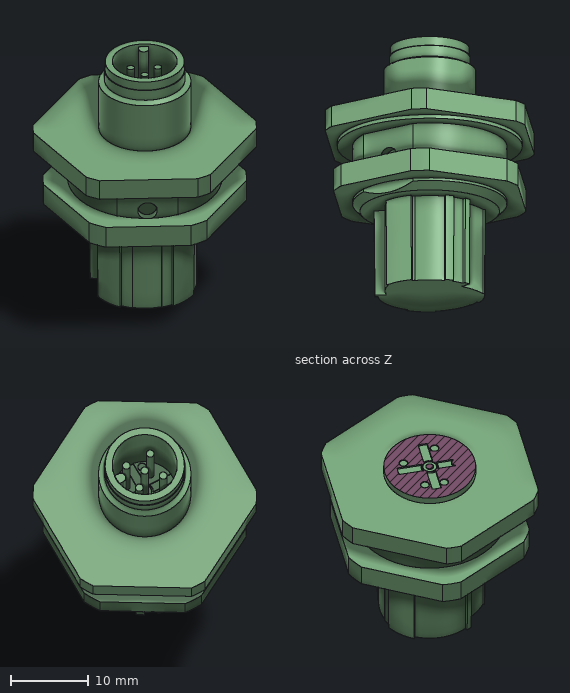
import cadquery as cq
import math

TOTAL_HEIGHT = 33.6
NOSE_BOTTOM = 32.35
COLLAR_BOTTOM = 30.88
SLEEVE_TOP = 30.5
FLANGE_TOP = 23.6
FLANGE_BOTTOM = 20.75
SEAL_BOTTOM = 20.25
NUT_TOP = 15.83
NUT_BOTTOM = 12.8
BODY_BOTTOM = 11.45

NOSE_RADIUS = 5.15
COLLAR_RADIUS = 5.25
SLEEVE_RADIUS = 5.98
SEAL_RADIUS = 12.0
BODY_RADIUS = 10.0
BODY_CHAMFER = 0.97

KEY_ANGLE = 130.0
PIN_ANGLES = [KEY_ANGLE + 45 + 90 * i for i in range(4)]

FLANGE_FLAT = 13.0
FLANGE_CORNER = 14.48
NUT_FLAT = 12.0
NUT_CORNER = 13.2

BODY_FLAT = 9.2
HOLE_RADIUS = 1.25
HOLE_HEIGHT = 16.45
HOLE_DEPTH = 1.1

SOCKET_RADIUS = 4.2
SOCKET_FLOOR = 24.53
PIN_RADIUS = 0.5
PIN_CIRCLE = 2.5
PIN_TOP = 31.55
KEY_RADIUS = 0.65
KEY_CENTRE = 3.53
KEY_TOP = 33.2
GROOVE_WIDTH = 1.15
GROOVE_DEPTH = 0.2
HUB_RADIUS = 1.1
HUB_RECESS_RADIUS = 0.9
PAD_RADIUS = 0.55
PAD_CIRCLE = 3.45
PAD_DEPTH = 0.1
PAD_OFFSETS = [22.0, 22.0, 22.0, -25.0]

CARRIER_RADIUS = 6.75
RIDGE_TOP_RADIUS = 7.22
RIDGE_BOTTOM_RADIUS = 7.12
WIDE_RIDGE = 32.0
PLAIN_RIDGE_CENTRE = 355.0
LATCH_RIDGE_CENTRES = [130.0, 265.0]
NARROW_RIDGE = (182.2, 191.2)
SHALLOW_RECESSES = [(149.0, 182.2), (294.0, 327.0)]
SHALLOW_RECESS_RADIUS = 6.65
RIB_START = 43.7
RIB_TIP_END = 37.5
RIB_ROOT = 35.5
POCKET_START_RADIUS = 5.65
POCKET_END_RADIUS = 6.92
POCKET_CURVE_RADIUS = 8.05
CLEARANCE_RADIUS = 10.08


def polar(radius, angle):
    a = math.radians(angle)
    return (radius * math.cos(a), radius * math.sin(a))


def cylinder(radius, bottom, top):
    return cq.Workplane("XY").workplane(offset=bottom).circle(radius).extrude(top - bottom)


def hexagon(flat, corner, bottom, top):
    """Hexagonal plate with corners turned to a circle."""
    height = top - bottom
    prism = (
        cq.Workplane("XY")
        .workplane(offset=bottom)
        .polygon(6, 2 * flat, circumscribed=True)
        .extrude(height)
        .rotate((0, 0, 0), (0, 0, 1), KEY_ANGLE)
    )
    return prism.intersect(cylinder(corner, bottom, top))


def wedge(start, end):
    """Triangular prism covering the carrier between two angles."""
    points = [(0, 0), polar(CLEARANCE_RADIUS, start), polar(CLEARANCE_RADIUS, end)]
    return cq.Workplane("XY").polyline(points).close().extrude(BODY_BOTTOM)


def make_shell():
    """Revolved sleeve, sealing ring and chamfered body."""
    profile = [
        (0, BODY_BOTTOM),
        (BODY_RADIUS - BODY_CHAMFER, BODY_BOTTOM),
        (BODY_RADIUS, BODY_BOTTOM + BODY_CHAMFER),
        (BODY_RADIUS, SEAL_BOTTOM),
        (SEAL_RADIUS, SEAL_BOTTOM),
        (SEAL_RADIUS, FLANGE_BOTTOM),
        (SLEEVE_RADIUS, FLANGE_BOTTOM),
        (SLEEVE_RADIUS, SLEEVE_TOP),
        (COLLAR_RADIUS, COLLAR_BOTTOM),
        (COLLAR_RADIUS, NOSE_BOTTOM),
        (NOSE_RADIUS, NOSE_BOTTOM),
        (NOSE_RADIUS, TOTAL_HEIGHT),
        (0, TOTAL_HEIGHT),
    ]
    return cq.Workplane("XZ").polyline(profile).close().revolve(360, (0, 0), (0, 1))


def flat_cutter(angle):
    """Removes one side of the body and sinks a blind hole in the flat left behind."""
    depth = BODY_RADIUS - BODY_FLAT
    height = SEAL_BOTTOM - BODY_BOTTOM
    slab = (
        cq.Workplane("XY")
        .box(depth, 2 * BODY_RADIUS, height, centered=(False, True, False))
        .translate((BODY_FLAT, 0, BODY_BOTTOM))
    )
    hole = (
        cq.Workplane("YZ")
        .workplane(offset=BODY_FLAT - HOLE_DEPTH)
        .center(0, HOLE_HEIGHT)
        .circle(HOLE_RADIUS)
        .extrude(HOLE_DEPTH + depth)
    )
    return slab.union(hole).rotate((0, 0, 0), (0, 0, 1), angle)


def make_nut():
    nut = hexagon(NUT_FLAT, NUT_CORNER, NUT_BOTTOM, NUT_TOP)
    return nut.cut(cylinder(BODY_RADIUS, NUT_BOTTOM, NUT_TOP))


def make_socket():
    """Space inside the sleeve, with the key, pins and floor details left standing."""
    groove_bottom = SOCKET_FLOOR - GROOVE_DEPTH
    space = cylinder(SOCKET_RADIUS, SOCKET_FLOOR, TOTAL_HEIGHT)

    grooves = cq.Workplane("XY")
    for angle in (KEY_ANGLE, KEY_ANGLE + 90):
        bar = (
            cq.Workplane("XY")
            .box(2 * SOCKET_RADIUS, GROOVE_WIDTH, GROOVE_DEPTH, centered=(True, True, False))
            .translate((0, 0, groove_bottom))
            .rotate((0, 0, 0), (0, 0, 1), angle)
        )
        grooves = grooves.add(bar)
    grooves = grooves.combine().intersect(cylinder(SOCKET_RADIUS, groove_bottom, SOCKET_FLOOR))
    grooves = grooves.cut(cylinder(HUB_RADIUS, groove_bottom, SOCKET_FLOOR))
    hub_recess = cylinder(HUB_RECESS_RADIUS, SOCKET_FLOOR - PAD_DEPTH, SOCKET_FLOOR)
    space = space.union(grooves).union(hub_recess)

    for pin_angle, offset in zip(PIN_ANGLES, PAD_OFFSETS):
        x, y = polar(PAD_CIRCLE, pin_angle + offset)
        pad = cylinder(PAD_RADIUS, SOCKET_FLOOR - PAD_DEPTH, SOCKET_FLOOR)
        space = space.union(pad.translate((x, y, 0)))

    pin = cylinder(PIN_RADIUS, groove_bottom, PIN_TOP)
    space = space.cut(pin)
    for pin_angle in PIN_ANGLES:
        x, y = polar(PIN_CIRCLE, pin_angle)
        space = space.cut(pin.translate((x, y, 0)))

    key_length = SOCKET_RADIUS - KEY_CENTRE
    key = (
        cylinder(KEY_RADIUS, groove_bottom, KEY_TOP)
        .union(
            cq.Workplane("XY")
            .box(key_length, 2 * KEY_RADIUS, KEY_TOP - groove_bottom, centered=(False, True, False))
            .translate((0, 0, groove_bottom))
        )
        .translate((KEY_CENTRE, 0, 0))
        .rotate((0, 0, 0), (0, 0, 1), KEY_ANGLE)
    )
    return space.cut(key)


def latch_pocket(ridge_start):
    """Curved pocket from a latch rib to a wide ridge, growing shallower towards the ridge."""
    return (
        cq.Workplane("XY")
        .moveTo(*polar(POCKET_START_RADIUS, ridge_start - RIB_ROOT))
        .radiusArc(polar(POCKET_END_RADIUS, ridge_start), -POCKET_CURVE_RADIUS)
        .lineTo(*polar(CLEARANCE_RADIUS, ridge_start))
        .lineTo(*polar(CLEARANCE_RADIUS, ridge_start - RIB_TIP_END))
        .lineTo(*polar(RIDGE_TOP_RADIUS, ridge_start - RIB_TIP_END))
        .close()
        .extrude(BODY_BOTTOM)
    )


def make_carrier():
    """Ribbed contact carrier below the body; the ridges taper towards the bottom."""
    carrier = cylinder(CARRIER_RADIUS, 0, BODY_BOTTOM)

    outer_ring = cylinder(CLEARANCE_RADIUS, 0, BODY_BOTTOM)
    outer_ring = outer_ring.cut(cylinder(SHALLOW_RECESS_RADIUS, 0, BODY_BOTTOM))
    for start, end in SHALLOW_RECESSES:
        carrier = carrier.cut(outer_ring.intersect(wedge(start, end)))

    cone = (
        cq.Workplane("XY")
        .circle(RIDGE_BOTTOM_RADIUS)
        .workplane(offset=BODY_BOTTOM)
        .circle(RIDGE_TOP_RADIUS)
        .loft()
    )
    half_width = WIDE_RIDGE / 2
    latch_starts = [centre - half_width for centre in LATCH_RIDGE_CENTRES]
    ridges = [NARROW_RIDGE]
    for start in latch_starts + [PLAIN_RIDGE_CENTRE - half_width]:
        ridges.append((start, start + WIDE_RIDGE))
    for start in latch_starts:
        ridges.append((start - RIB_START, start))
    for start, end in ridges:
        carrier = carrier.union(cone.intersect(wedge(start, end)))

    for start in latch_starts:
        carrier = carrier.cut(latch_pocket(start))
    return carrier


shell = make_shell()
for flat_angle in (KEY_ANGLE, KEY_ANGLE + 180):
    shell = shell.cut(flat_cutter(flat_angle))

flange = hexagon(FLANGE_FLAT, FLANGE_CORNER, FLANGE_BOTTOM, FLANGE_TOP)

result = shell.union(flange).union(make_nut()).union(make_carrier()).cut(make_socket())